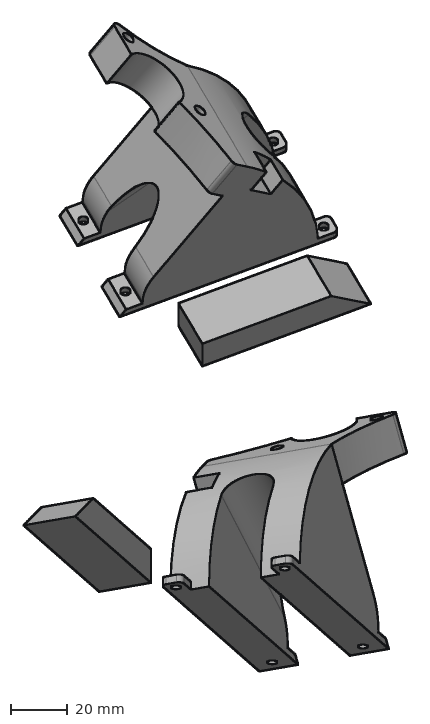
import cadquery as cq
import math

tilt = 40.0
sin_tilt = math.sin(math.radians(tilt))
cos_tilt = math.cos(math.radians(tilt))

body_width = 50.0
back_radius = 77.37
foot_thickness = 3.0
shin_radius = 18.0
ankle_height = 4.2
ankle_flare = 0.2

leg_width = 15.0
arch_tilt = 25.0
arch_spring_height = 8.0
passage_length = 2 * back_radius

tab_size = 8.0
tab_corner_radius = 2.0
foot_hole_diameter = 3.5
toe_hole_y = 5.75

notch_size = 10.0
notch_forward_offset = 10.3

plate_thickness = 15.0
plate_reach = 28.42
saddle_radius = 12.0
saddle_x = 10.5
saddle_u = 22.4
left_curve_radius = 60.0
left_curve_start_angle = 17.07
saddle_edge_x = 21.3
right_curve_radius = 120.0
right_edge_u = 6.8
plate_corner_radius = 2.0
plate_hole_diameter = 4.5
plate_hole_points = [(-9.1, 24.3), (23.7, 7.9)]

block_x = 90.0
block_width = 20.0
block_front_y = 4.1
block_back_y = 69.8
block_bottom_z = 39.3
block_height = 13.0


def make_side_profile():
    """Sector with a rounded shin, standing on a toe at the front."""
    ankle_rise = shin_radius * sin_tilt
    shin_top_z = ankle_height + ankle_rise
    shin_top_y = shin_top_z * sin_tilt / cos_tilt
    ankle_y = shin_top_y - shin_radius * (1 - cos_tilt)
    half = math.radians(tilt / 2)
    shin_mid = (
        ankle_y + shin_radius * (1 - math.cos(half)),
        ankle_height + shin_radius * math.sin(half),
    )
    back_mid_angle = math.radians((90 - tilt) / 2)
    back_mid = (back_radius * math.cos(back_mid_angle), back_radius * math.sin(back_mid_angle))
    return (
        cq.Workplane("YZ")
        .moveTo(0, 0)
        .lineTo(foot_thickness * sin_tilt / cos_tilt, foot_thickness)
        .lineTo(ankle_y - ankle_flare, foot_thickness)
        .lineTo(ankle_y, ankle_height)
        .threePointArc(shin_mid, (shin_top_y, shin_top_z))
        .lineTo(back_radius * sin_tilt, back_radius * cos_tilt)
        .threePointArc(back_mid, (back_radius, 0))
        .close()
    )


def make_passage():
    """Arched passage open to the ground, its round roof climbing towards the back."""
    half_width = body_width / 2 - leg_width
    return (
        cq.Workplane("XZ")
        .moveTo(-half_width, -passage_length)
        .lineTo(-half_width, 0)
        .threePointArc((0, half_width), (half_width, 0))
        .lineTo(half_width, -passage_length)
        .close()
        .extrude(passage_length, both=True)
        .rotate((0, 0, 0), (1, 0, 0), arch_tilt)
        .translate((body_width / 2, 0, arch_spring_height))
    )


def make_heel_tabs():
    """Two flat tabs with rounded ends behind the heel."""
    tab_length = 2 * tab_size
    return (
        cq.Workplane("XY")
        .pushPoints([(x, back_radius) for x in (tab_size / 2, body_width - tab_size / 2)])
        .rect(tab_size, tab_length)
        .extrude(foot_thickness)
        .edges("|Z and >Y")
        .fillet(tab_corner_radius)
    )


def make_foot_holes():
    heel_hole_y = back_radius + tab_size / 2
    points = []
    for inset, y in ((tab_size / 2, heel_hole_y), (leg_width / 2, toe_hole_y)):
        points += [(inset, y), (body_width - inset, y)]
    return cq.Workplane("XY").pushPoints(points).circle(foot_hole_diameter / 2).extrude(foot_thickness)


def make_notch():
    """Square notch, aligned with the leaning face, cut into the back from its right edge."""
    cutter_height = 2 * notch_size
    start = (body_width - notch_size, notch_forward_offset, back_radius - notch_size)
    return (
        cq.Workplane("XY")
        .box(notch_size, notch_size, cutter_height, centered=False)
        .translate(start)
        .rotate((0, 0, 0), (1, 0, 0), -tilt)
    )


def left_curve_point(angle):
    """Point on the plate's hollow left side: an arc that starts at the body's top edge."""
    start = math.radians(left_curve_start_angle)
    return (
        left_curve_radius * (math.cos(angle) - math.cos(start)),
        left_curve_radius * (math.sin(angle) - math.sin(start)),
    )


def make_plate():
    """Plate tangent to the top of the back, with a round saddle and two screw holes."""
    plane = cq.Plane(
        origin=(0, back_radius * sin_tilt, back_radius * cos_tilt),
        xDir=(1, 0, 0),
        normal=(0, -sin_tilt, -cos_tilt),
    )
    start = math.radians(left_curve_start_angle)
    centre_u = -left_curve_radius * math.sin(start)
    end = math.asin((plate_reach - centre_u) / left_curve_radius)
    left_middle = left_curve_point((start + end) / 2)
    left_corner = left_curve_point(end)
    saddle_left_x = saddle_x - math.sqrt(saddle_radius**2 - (plate_reach - saddle_u) ** 2)
    saddle_edge_u = saddle_u - math.sqrt(saddle_radius**2 - (saddle_edge_x - saddle_x) ** 2)
    plate = (
        cq.Workplane(plane)
        .moveTo(0, 0)
        .threePointArc(left_middle, left_corner)
        .lineTo(saddle_left_x, plate_reach)
        .threePointArc((saddle_x, saddle_u - saddle_radius), (saddle_edge_x, saddle_edge_u))
        .radiusArc((body_width, right_edge_u), -right_curve_radius)
        .lineTo(body_width, 0)
        .close()
        .extrude(plate_thickness)
    )
    for x, u in (left_corner, (body_width, right_edge_u)):
        corner = plane.toWorldCoords((x, u, plate_thickness / 2))
        nearest = cq.selectors.NearestToPointSelector(corner.toTuple())
        plate = plate.edges(nearest).fillet(plate_corner_radius)
    holes = (
        cq.Workplane(plane)
        .pushPoints(plate_hole_points)
        .circle(plate_hole_diameter / 2)
        .extrude(plate_thickness)
    )
    return plate.cut(holes)


def make_stand():
    body = make_side_profile().extrude(body_width)
    body = body.union(make_heel_tabs())
    body = body.cut(make_passage()).cut(make_foot_holes()).cut(make_notch())
    return body.union(make_plate())


def make_block():
    """Bar whose back end is cut to a wedge at the tilt angle."""
    wedge_length = block_height * cos_tilt / sin_tilt
    return (
        cq.Workplane("YZ", origin=(block_x, 0, block_bottom_z))
        .moveTo(block_front_y, 0)
        .lineTo(block_back_y, 0)
        .lineTo(block_back_y - wedge_length, block_height)
        .lineTo(block_front_y, block_height)
        .close()
        .extrude(block_width)
    )


stand = make_stand()
block = make_block()

result = cq.Compound.makeCompound([stand.val(), block.val()])